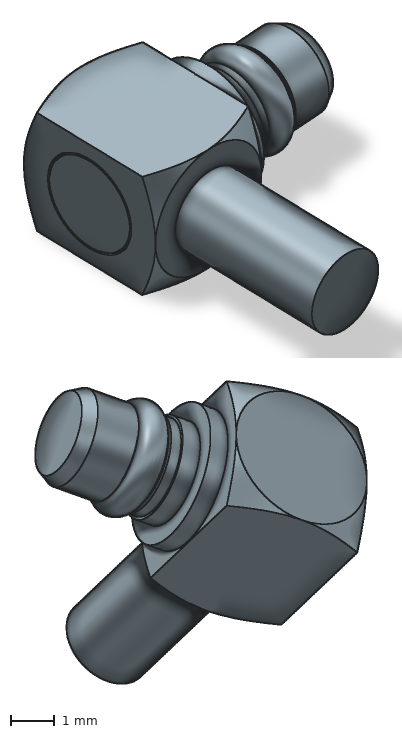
import cadquery as cq
import math

block_length = 4.17
block_width = 3.51
corner_cone_angle = 30.0
half_length = block_length / 2
half_width = block_width / 2

total_length = 8.5
tube_diameter = 2.2

face_groove_outer_diameter = 2.64
face_groove_inner_diameter = 2.54
face_groove_depth = 0.085

total_depth = 7.0
plug_length = total_depth - block_width
flange_diameter = 3.45
flange_thickness = 0.47
collar_diameter = 2.54
collar_thickness = 0.47
barrel_diameter = 2.4
tip_diameter = 2.05
tip_chamfer_length = 0.32

ring_outer_diameter = 2.83
ring_width = 0.77
ring_seat_diameter = 2.14
ring_clearance = 0.05
ring_groove_width = ring_width + 2 * ring_clearance
ring_groove_from_collar = 0.26

plug_start = half_width
plug_end = plug_start + plug_length
collar_start = plug_start + flange_thickness
collar_end = collar_start + collar_thickness
ring_groove_start = collar_end + ring_groove_from_collar
ring_groove_end = ring_groove_start + ring_groove_width
ring_center = (ring_groove_start + ring_groove_end) / 2


def revolve_about_y(profile):
    """Revolve an XY profile a full turn about the Y axis."""
    return profile.close().revolve(360, (0, 0, 0), (0, 1, 0))


def make_block():
    """Square block whose corners are turned to a cone at both X ends."""
    box = cq.Workplane("XY").box(block_length, block_width, block_width)
    envelope_radius = block_width
    cone_length = (envelope_radius - half_width) * math.tan(math.radians(corner_cone_angle))
    envelope = (
        cq.Workplane("XY")
        .moveTo(-half_length, 0)
        .lineTo(-half_length, half_width)
        .lineTo(-half_length + cone_length, envelope_radius)
        .lineTo(half_length - cone_length, envelope_radius)
        .lineTo(half_length, half_width)
        .lineTo(half_length, 0)
        .close()
        .revolve(360, (0, 0, 0), (1, 0, 0))
    )
    return box.intersect(envelope)


def make_tube():
    """Plain round tube leaving the +X end of the block."""
    tube_length = total_length - block_length
    return cq.Workplane("YZ", origin=(half_length, 0, 0)).circle(tube_diameter / 2).extrude(tube_length)


def make_plug():
    """Stepped plug with a ring groove and a tapered tip."""
    profile = (
        cq.Workplane("XY")
        .moveTo(0, plug_start)
        .lineTo(flange_diameter / 2, plug_start)
        .lineTo(flange_diameter / 2, collar_start)
        .lineTo(collar_diameter / 2, collar_start)
        .lineTo(collar_diameter / 2, collar_end)
        .lineTo(barrel_diameter / 2, collar_end)
        .lineTo(barrel_diameter / 2, ring_groove_start)
        .lineTo(ring_seat_diameter / 2, ring_groove_start)
        .lineTo(ring_seat_diameter / 2, ring_groove_end)
        .lineTo(barrel_diameter / 2, ring_groove_end)
        .lineTo(barrel_diameter / 2, plug_end - tip_chamfer_length)
        .lineTo(tip_diameter / 2, plug_end)
        .lineTo(0, plug_end)
    )
    return revolve_about_y(profile)


def make_face_groove():
    """Thin annular cutter at the -Y face of the block."""
    return (
        cq.Workplane("XZ", origin=(0, -half_width, 0))
        .circle(face_groove_outer_diameter / 2)
        .circle(face_groove_inner_diameter / 2)
        .extrude(-face_groove_depth)
    )


def make_snap_ring():
    """Ring with a flat inner face and a rounded outer face."""
    seat_radius = ring_seat_diameter / 2
    profile = (
        cq.Workplane("XY")
        .moveTo(seat_radius, ring_center - ring_width / 2)
        .threePointArc((ring_outer_diameter / 2, ring_center), (seat_radius, ring_center + ring_width / 2))
    )
    return revolve_about_y(profile)


housing = make_block().union(make_tube()).union(make_plug()).cut(make_face_groove())
snap_ring = make_snap_ring()

result = cq.Compound.makeCompound([housing.solids().val(), snap_ring.val()])